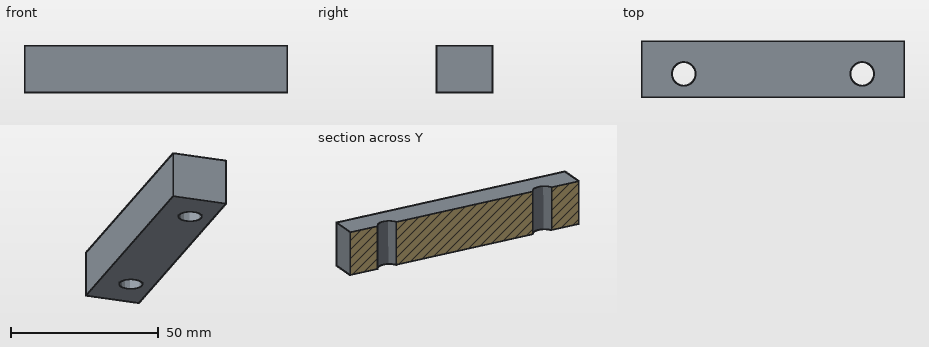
import cadquery as cq

length = 88.9
width = 19.0
height = 15.9

hole_diameter = 7.9
hole_spacing = 60.4
hole_to_front_face = 7.9

hole_y = hole_to_front_face - width / 2
hole_centers = [(side * hole_spacing / 2, hole_y) for side in (-1, 1)]

bar = cq.Workplane("XY").box(length, width, height)

result = (
    bar.faces(">Z")
    .workplane(origin=(0, 0, 0))
    .pushPoints(hole_centers)
    .hole(hole_diameter)
)